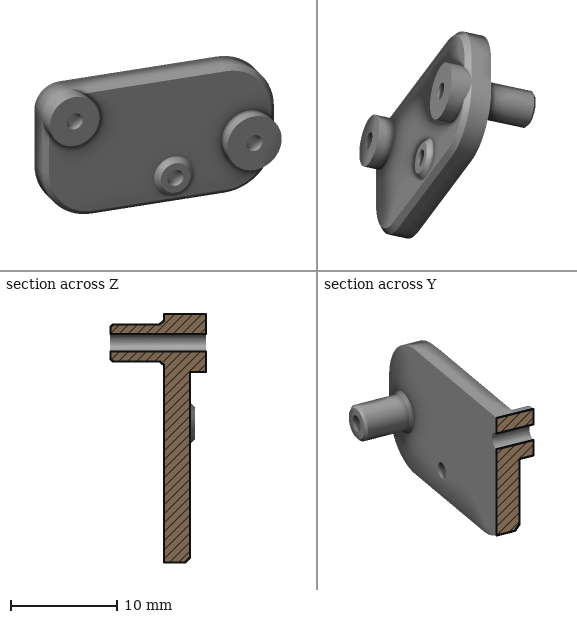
import cadquery as cq

plate_length = 23.44
plate_height = 13.15
plate_thickness = 2.5
plate_chamfer = 0.5
large_corner_radius = 5.0
small_corner_radius = 2.5

pin_diameter = 3.55
pin_length = 5.0
pin_tip_chamfer = 0.25
pin_root_length = 0.35
pin_root_width = 0.31

boss_top = 4.0
pin_boss_diameter = 5.5
corner_boss_diameter = 2 * small_corner_radius

pad_base_diameter = 4.0
pad_top = 3.0
pad_chamfer = pad_top - plate_thickness

hole_diameter = 1.62
pin_height_above_bottom = 5.52
pad_height_above_bottom = 2.75
pad_offset_from_pin = 7.59

y_max = pin_boss_diameter / 2
y_min = y_max - plate_length
z_min = -pin_height_above_bottom
z_max = z_min + plate_height

pin_axis = (0, 0)
corner_axis = (y_min + small_corner_radius, z_max - small_corner_radius)
pad_axis = (-pad_offset_from_pin, z_min + pad_height_above_bottom)


def cylinder(axis, diameter, x_start, x_end):
    """Cylinder along X between two X positions."""
    profile = cq.Workplane("YZ", origin=(x_start, 0, 0)).center(*axis).circle(diameter / 2)
    return profile.extrude(x_end - x_start)


def make_plate():
    """Plate with three large rounded corners, one small one and a chamfered front edge."""
    plate = (
        cq.Workplane("YZ")
        .center((y_min + y_max) / 2, (z_min + z_max) / 2)
        .rect(plate_length, plate_height)
        .extrude(plate_thickness)
    )
    corner_radii = (
        (y_min, z_max, small_corner_radius),
        (y_max, z_max, large_corner_radius),
        (y_max, z_min, large_corner_radius),
        (y_min, z_min, large_corner_radius),
    )
    for y, z, radius in corner_radii:
        corner = cq.selectors.NearestToPointSelector((plate_thickness / 2, y, z))
        plate = plate.edges(corner).fillet(radius)
    return plate.faces(">X").chamfer(plate_chamfer)


def make_pin():
    """Pin turned about the X axis, with a chamfered tip and a conical root."""
    pin_radius = pin_diameter / 2
    root_radius = pin_radius + pin_root_width
    return (
        cq.Workplane("XY")
        .moveTo(-pin_length, 0)
        .lineTo(-pin_length, pin_radius - pin_tip_chamfer)
        .lineTo(-pin_length + pin_tip_chamfer, pin_radius)
        .lineTo(-pin_root_length, pin_radius)
        .lineTo(0, root_radius)
        .lineTo(0, 0)
        .close()
        .revolve(360, (0, 0, 0), (1, 0, 0))
    )


def make_bosses():
    """The two tall bosses, running through the plate so that they fill its chamfer."""
    pin_boss = cylinder(pin_axis, pin_boss_diameter, 0, boss_top)
    corner_boss = cylinder(corner_axis, corner_boss_diameter, 0, boss_top)
    return pin_boss.union(corner_boss)


def make_pad():
    """Low pad whose chamfer takes up its full height above the plate."""
    pad = cylinder(pad_axis, pad_base_diameter, 0, pad_top)
    return pad.faces(">X").chamfer(pad_chamfer)


def make_holes():
    """Through holes in the pin, the corner boss and the pad."""
    holes = cylinder(pin_axis, hole_diameter, -pin_length, boss_top)
    for axis in (corner_axis, pad_axis):
        holes = holes.union(cylinder(axis, hole_diameter, 0, boss_top))
    return holes


body = make_plate().union(make_pin()).union(make_bosses()).union(make_pad())
result = body.cut(make_holes()).clean()